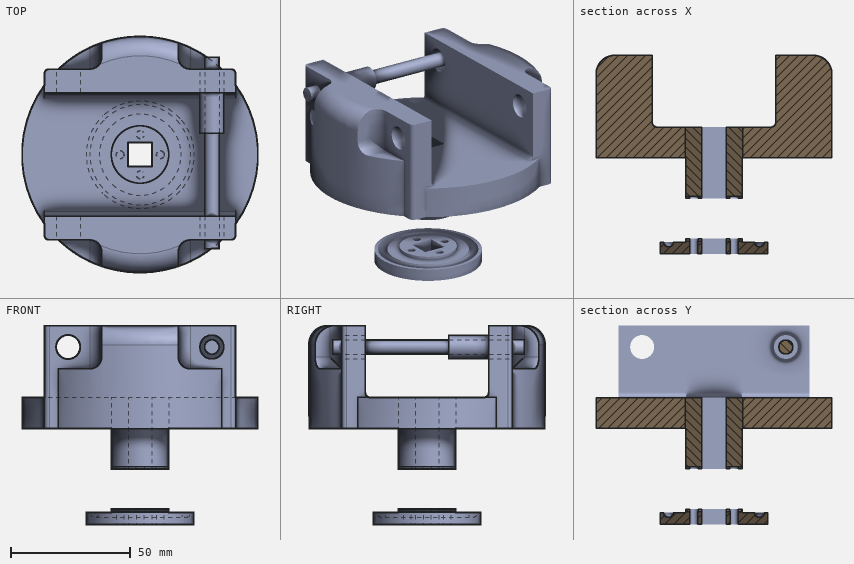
import cadquery as cq


disc_diameter = 98.8
disc_height = 13.0
jaw_height = 30.0
jaw_length = 79.9
jaw_thickness = 10.0
jaw_gap = 51.5
jaw_corner_radius = 2.0
floor_fillet = 2.0
crown_radius = 8.0
housing_top = disc_height + jaw_height
jaw_inner = jaw_gap / 2
jaw_outer = jaw_inner + jaw_thickness

bulge_width = 32.0
pocket_floor = 25.0
pocket_fillet = 5.0

cross_hole_diameter = 10.0
cross_hole_offset = 30.0
cross_hole_drop = 9.0
pin_diameter = 6.0
pin_front = -39.3
pin_length = 80.0
sleeve_front = 9.0
cross_hole_height = housing_top - cross_hole_drop

spindle_diameter = 24.0
spindle_drop = 16.0
square_bore = 9.9
washer_thickness = 1.0
washer_hole_diameter = 3.5
screw_circle_diameter = 16.8

total_height = 83.2
retainer_diameter = 45.0
retainer_hole_diameter = 3.1
flange_thickness = 5.0
hub_height = 0.5
race_diameter = 38.0
race_radius = 2.0
retainer_bottom = housing_top - total_height
flange_top = retainer_bottom + flange_thickness
hub_top = flange_top + hub_height


def cylinder(diameter, bottom, top):
    """Upright cylinder on the spindle axis."""
    return cq.Workplane("XY").workplane(offset=bottom).circle(diameter / 2).extrude(top - bottom)


def cross_cylinder(diameter, x, front, back):
    """Cylinder along Y at the height of the cross holes."""
    return (
        cq.Workplane("XZ", origin=(x, front, cross_hole_height))
        .circle(diameter / 2)
        .extrude(front - back)
    )


def square_prism(bottom, top):
    """Square bore on the spindle axis."""
    return cq.Workplane("XY").workplane(offset=bottom).rect(square_bore, square_bore).extrude(top - bottom)


def screw_holes(diameter, bottom, top):
    """Four screw holes around the spindle axis."""
    return (
        cq.Workplane("XY")
        .workplane(offset=bottom)
        .polarArray(screw_circle_diameter / 2, 0, 360, 4)
        .circle(diameter / 2)
        .extrude(top - bottom)
    )


def make_bulge():
    """Round body outside the back jaw, with a rounded crown."""
    behind_jaw = (
        cq.Workplane("XY")
        .box(disc_diameter, disc_diameter / 2, housing_top, centered=(True, False, False))
        .translate((0, jaw_outer - jaw_thickness / 2, 0))
    )
    drum = cylinder(disc_diameter, 0, housing_top).faces(">Z").edges().fillet(crown_radius)
    return drum.intersect(behind_jaw)


def make_pocket(side):
    """Cutter for the pocket on one side (+1 or -1) of the back bulge."""
    reach = disc_diameter / 2
    bulge_face = ">X" if side < 0 else "<X"
    return (
        cq.Workplane("XY")
        .box(reach, reach, jaw_height, centered=(True, False, False))
        .translate((side * (bulge_width + reach) / 2, jaw_outer, pocket_floor))
        .faces(bulge_face)
        .edges("<Y or <Z")
        .fillet(pocket_fillet)
    )


def make_floor_fillet():
    """Concave strip between the disc and the inner face of the back jaw."""
    return (
        cq.Workplane("YZ", origin=(-jaw_length / 2, 0, 0))
        .moveTo(jaw_inner, disc_height)
        .lineTo(jaw_inner, disc_height + floor_fillet)
        .radiusArc((jaw_inner - floor_fillet, disc_height), floor_fillet)
        .close()
        .extrude(jaw_length)
    )


def make_back_jaw():
    """Jaw wall with its bulge, floor fillet and two cross holes."""
    wall = (
        cq.Workplane("XY")
        .box(jaw_length, jaw_thickness, housing_top, centered=(True, False, False))
        .translate((0, jaw_inner, 0))
        .edges("|Z and >Y")
        .fillet(jaw_corner_radius)
    )
    bulge = make_bulge()
    for side in (-1, 1):
        bulge = bulge.cut(make_pocket(side))
    jaw = wall.union(bulge).union(make_floor_fillet())
    for side in (-1, 1):
        hole = cross_cylinder(cross_hole_diameter, side * cross_hole_offset, jaw_inner, jaw_outer)
        jaw = jaw.cut(hole)
    return jaw


def make_housing():
    back_jaw = make_back_jaw()
    front_jaw = back_jaw.mirror("XZ")
    housing = cylinder(disc_diameter, 0, disc_height).union(back_jaw).union(front_jaw)
    return housing.cut(cylinder(spindle_diameter, 0, disc_height))


def make_spindle():
    spindle = cylinder(spindle_diameter, -spindle_drop, disc_height)
    return spindle.cut(square_prism(-spindle_drop, disc_height))


def make_washer(bottom):
    top = bottom + washer_thickness
    washer = cylinder(spindle_diameter, bottom, top)
    return washer.cut(square_prism(bottom, top)).cut(screw_holes(washer_hole_diameter, bottom, top))


def make_retainer():
    flange = cylinder(retainer_diameter, retainer_bottom, flange_top)
    hub = cylinder(spindle_diameter, flange_top, hub_top)
    ball_race = (
        cq.Workplane("XZ", origin=(0, 0, flange_top))
        .center(race_diameter / 2, 0)
        .circle(race_radius)
        .revolve(360, (-race_diameter / 2, 0), (-race_diameter / 2, 1))
    )
    return (
        flange.cut(ball_race)
        .union(hub)
        .cut(square_prism(retainer_bottom, hub_top))
        .cut(screw_holes(retainer_hole_diameter, retainer_bottom, hub_top))
    )


def make_pin():
    return cross_cylinder(pin_diameter, cross_hole_offset, pin_front, pin_front + pin_length)


def make_sleeve():
    """Sleeve on the pin, seated in the back jaw and flush with its outer face."""
    sleeve = cross_cylinder(cross_hole_diameter, cross_hole_offset, sleeve_front, jaw_outer)
    return sleeve.cut(make_pin())


housing = make_housing()
spindle = make_spindle()
retainer = make_retainer()
pin = make_pin()
sleeve = make_sleeve()
washers = [make_washer(bottom).val() for bottom in (-spindle_drop - washer_thickness, hub_top)]

result = cq.Compound.makeCompound(
    [housing.val(), spindle.val(), retainer.val(), pin.val(), sleeve.val(), *washers]
)